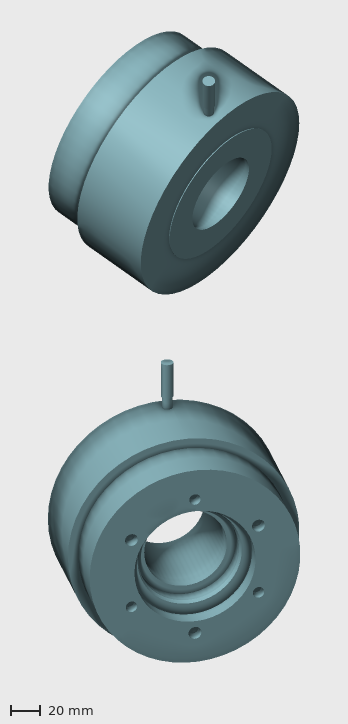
import cadquery as cq

flange_diameter = 146.1
flange_length = 32.3
body_diameter = 160.5
body_end = 89.6
rim_diameter = 103.3
overall_length = 90.2

counterbore_diameter = 84.0
counterbore_depth = 10.7
groove_diameter = 97.5
groove_end = 15.2
recess_diameter = 70.0
recess_depth = 27.0
recess_chamfer_diameter = 72.3
recess_chamfer_depth = 3.0
bore_diameter = 57.3

hole_circle_radius = 50.8
hole_count = 6
small_hole_diameter = 8.0
large_hole_diameter = 9.0
small_hole_angle = 90
large_hole_angle = small_hole_angle - 360 / hole_count
hole_depth = 7.8

pin_x = 79.5
overall_height = 194.8
pin_top = overall_height - body_diameter / 2
pin_head_length = 25.5
pin_head_diameter = 8.5
pin_neck_diameter = 7.0
pin_embed = 2.0


def disc(diameter, start, end):
    """Cylinder along the X axis between two X positions."""
    return cq.Workplane("YZ", origin=(start, 0, 0)).circle(diameter / 2).extrude(end - start)


def pin_section(diameter, bottom, top):
    """Upright cylinder on the pin axis between two heights."""
    return cq.Workplane("XY", origin=(pin_x, 0, bottom)).circle(diameter / 2).extrude(top - bottom)


def make_body():
    flange = disc(flange_diameter, 0, flange_length)
    main = disc(body_diameter, flange_length, body_end)
    rim = disc(rim_diameter, body_end, overall_length)
    return flange.union(main).union(rim)


def make_bore():
    chamfer = (
        cq.Workplane("YZ", origin=(groove_end, 0, 0))
        .circle(recess_chamfer_diameter / 2)
        .workplane(offset=recess_chamfer_depth)
        .circle(recess_diameter / 2)
        .loft()
    )
    counterbore = disc(counterbore_diameter, 0, counterbore_depth)
    groove = disc(groove_diameter, counterbore_depth, groove_end)
    recess = disc(recess_diameter, 0, recess_depth)
    through_bore = disc(bore_diameter, 0, overall_length)
    return through_bore.union(recess).union(counterbore).union(groove).union(chamfer)


def make_holes(diameter, start_angle):
    """Every second hole of the ring, starting at an angle measured from +Y towards +Z."""
    return (
        cq.Workplane("YZ")
        .polarArray(hole_circle_radius, start_angle, 360, hole_count // 2)
        .circle(diameter / 2)
        .extrude(hole_depth)
    )


def make_pin():
    head_bottom = pin_top - pin_head_length
    neck = pin_section(pin_neck_diameter, body_diameter / 2 - pin_embed, head_bottom)
    head = pin_section(pin_head_diameter, head_bottom, pin_top)
    return neck.union(head)


result = (
    make_body()
    .cut(make_bore())
    .cut(make_holes(small_hole_diameter, small_hole_angle))
    .cut(make_holes(large_hole_diameter, large_hole_angle))
    .union(make_pin())
)